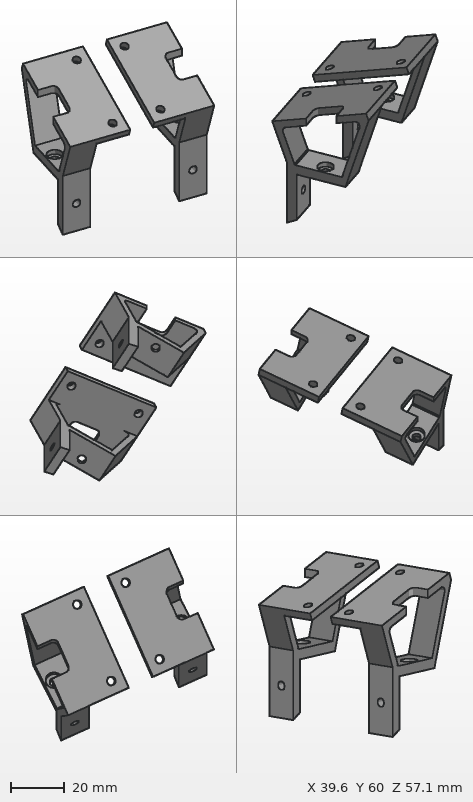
import cadquery as cq
import math


TOTAL_LENGTH = 60.0
PLATE_WIDTH = 25.0
ARM_WIDTH = 11.5
OUTER_Y = TOTAL_LENGTH / 2

TILT = 20.0
PLATE_LENGTH = 41.05
PLATE_THICKNESS = 3.0
PLATE_HOLE_INSET = 5.0
TILT_COS = math.cos(math.radians(TILT))
TILT_SIN = math.sin(math.radians(TILT))

BASE_THICKNESS = 4.0
BASE_LENGTH = 24.0
POST_THICKNESS = 4.0
POST_LENGTH = 20.05
POST_END_ANGLE = 30.0
FRONT_LEG_FOOT_X = -25.15
FRONT_LEG_WIDTH = 2.6
BACK_LEG_THICKNESS = 3.0
PLATE_TIP_Z = 20.75
BACK_CORNER_RADIUS = 2.0
FRONT_CORNER_RADIUS = 1.5
FOOT_BEVEL = 0.35

SCREW_DIAMETER = 3.2
COUNTERBORE_DIAMETER = 6.2
COUNTERBORE_DEPTH = 2.0
BASE_HOLE_X = -14.05
BASE_HOLE_INSET = 3.85
POST_HOLE_Z = -10.0
NOTCH_WIDTH = 12.35
NOTCH_DEPTH = 7.7
NOTCH_RADIUS = 2.0

TIP_X = (PLATE_TIP_Z - BASE_THICKNESS) * TILT_SIN / TILT_COS
TOP_X = TIP_X - PLATE_LENGTH * TILT_COS
TOP_Z = PLATE_TIP_Z + PLATE_LENGTH * TILT_SIN
UNDER_X = TOP_X - PLATE_THICKNESS * TILT_SIN
UNDER_Z = TOP_Z - PLATE_THICKNESS * TILT_COS


def extrude_outline(points, width):
    """Extrude an XZ outline inward from the outer side of the +Y bracket."""
    return (
        cq.Workplane("XZ", origin=(0, OUTER_Y, 0))
        .polyline(points)
        .close()
        .extrude(width)
    )


def make_plate():
    drop_x = PLATE_THICKNESS * TILT_SIN
    drop_z = PLATE_THICKNESS * TILT_COS
    return extrude_outline(
        [
            (TOP_X, TOP_Z),
            (TIP_X, PLATE_TIP_Z),
            (TIP_X - drop_x, PLATE_TIP_Z - drop_z),
            (UNDER_X, UNDER_Z),
        ],
        PLATE_WIDTH,
    )


def make_arm():
    """Closed frame of legs and base, with the post hanging below it."""
    post_tip_z = -POST_LENGTH - POST_THICKNESS * math.tan(math.radians(POST_END_ANGLE))
    return extrude_outline(
        [
            (TOP_X, TOP_Z),
            (TIP_X, PLATE_TIP_Z),
            (0, BASE_THICKNESS),
            (0, post_tip_z),
            (-POST_THICKNESS, -POST_LENGTH),
            (-POST_THICKNESS, 0),
            (-BASE_LENGTH, 0),
            (FRONT_LEG_FOOT_X, BASE_THICKNESS),
            (UNDER_X, UNDER_Z),
        ],
        ARM_WIDTH,
    )


def arm_edge_centre(corner):
    """Middle of the arm-wide edge that runs along y through an XZ corner."""
    x, z = corner
    return (x, OUTER_Y - ARM_WIDTH / 2, z)


def make_window():
    """Opening of the frame, rounded under the plate and bevelled at the foot of the back leg."""
    front_foot_x = FRONT_LEG_FOOT_X + FRONT_LEG_WIDTH
    back_foot_x = -BACK_LEG_THICKNESS / TILT_COS
    front_slope = (UNDER_X - FRONT_LEG_FOOT_X) / (UNDER_Z - BASE_THICKNESS)
    plate_slope = -TILT_SIN / TILT_COS

    foot_gap = front_foot_x - UNDER_X
    front_rise = (UNDER_Z - BASE_THICKNESS + plate_slope * foot_gap) / (1 - plate_slope * front_slope)
    front_corner = (front_foot_x + front_slope * front_rise, BASE_THICKNESS + front_rise)

    back_corner = (
        TIP_X - BACK_LEG_THICKNESS * TILT_COS - PLATE_THICKNESS * TILT_SIN,
        PLATE_TIP_Z + BACK_LEG_THICKNESS * TILT_SIN - PLATE_THICKNESS * TILT_COS,
    )
    window = extrude_outline(
        [
            (front_foot_x, BASE_THICKNESS),
            (back_foot_x, BASE_THICKNESS),
            back_corner,
            front_corner,
        ],
        ARM_WIDTH,
    )
    return (
        window.edges(cq.selectors.NearestToPointSelector(arm_edge_centre(front_corner)))
        .fillet(FRONT_CORNER_RADIUS)
        .edges(cq.selectors.NearestToPointSelector(arm_edge_centre(back_corner)))
        .fillet(BACK_CORNER_RADIUS)
        .edges(cq.selectors.NearestToPointSelector(arm_edge_centre((back_foot_x, BASE_THICKNESS))))
        .chamfer(FOOT_BEVEL)
    )


def make_plate_holes():
    """Two screw holes square to the plate, near its inner edge."""
    plate_plane = cq.Plane(
        origin=(TOP_X, OUTER_Y - PLATE_WIDTH + PLATE_HOLE_INSET, TOP_Z),
        xDir=(TILT_COS, 0, -TILT_SIN),
        normal=(TILT_SIN, 0, TILT_COS),
    )
    return (
        cq.Workplane(plate_plane)
        .pushPoints([(PLATE_HOLE_INSET, 0), (PLATE_LENGTH - PLATE_HOLE_INSET, 0)])
        .circle(SCREW_DIAMETER / 2)
        .extrude(-PLATE_THICKNESS)
    )


def make_notch():
    """Vertical access notch in the outer edge of the plate, above the base screw."""
    return (
        cq.Workplane("XY", origin=(BASE_HOLE_X, OUTER_Y, BASE_THICKNESS))
        .rect(NOTCH_WIDTH, 2 * NOTCH_DEPTH)
        .extrude(TOP_Z - BASE_THICKNESS)
        .edges("|Z")
        .fillet(NOTCH_RADIUS)
    )


def make_base_hole():
    """Counterbored screw hole down through the base."""
    top = cq.Workplane("XY", origin=(BASE_HOLE_X, OUTER_Y - BASE_HOLE_INSET, BASE_THICKNESS))
    through = top.circle(SCREW_DIAMETER / 2).extrude(-BASE_THICKNESS)
    counterbore = top.circle(COUNTERBORE_DIAMETER / 2).extrude(-COUNTERBORE_DEPTH)
    return through.union(counterbore)


def make_post_hole():
    return (
        cq.Workplane("YZ", origin=(-POST_THICKNESS, OUTER_Y - ARM_WIDTH / 2, POST_HOLE_Z))
        .circle(SCREW_DIAMETER / 2)
        .extrude(POST_THICKNESS)
    )


def make_bracket(side):
    """One bracket; side is +1 for the +Y bracket and -1 for its mirror image."""
    bracket = make_arm().cut(make_window()).union(make_plate())
    for cutter in (make_notch(), make_plate_holes(), make_base_hole(), make_post_hole()):
        bracket = bracket.cut(cutter)
    if side < 0:
        bracket = bracket.mirror("XZ")
    return bracket


brackets = [make_bracket(side) for side in (1, -1)]

result = cq.Compound.makeCompound([bracket.val() for bracket in brackets])